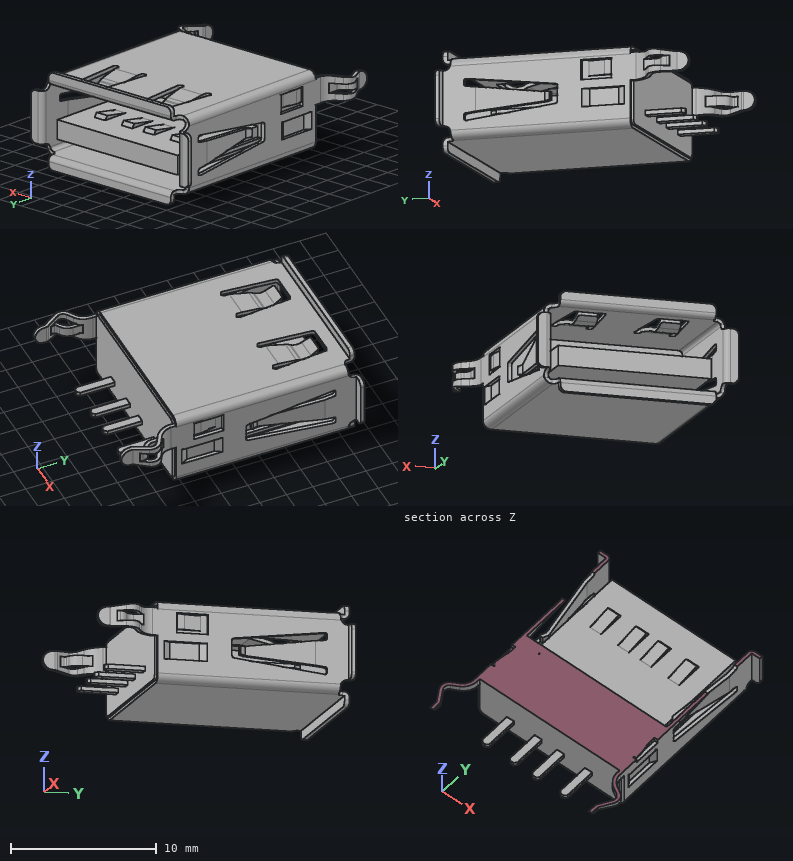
import cadquery as cq
import math


SHELL_WIDTH = 13.1
SHELL_HEIGHT = 5.7
SHELL_REAR = -13.88
SHEET = 0.3
SHELL_CORNER = 0.6
HALF_WIDTH = SHELL_WIDTH / 2
HALF_HEIGHT = SHELL_HEIGHT / 2
WALL_MID = HALF_WIDTH - SHEET / 2
ROOF_MID = HALF_HEIGHT - SHEET / 2

LIP_SPAN_Z = 7.12
LIP_SPAN_X = 14.55
ROOF_LIP_WIDTH = 11.3
ROOF_LIP_THICKNESS = 0.36
SIDE_LIP_HEIGHT = 3.87
LIP_CORNER = 0.42
LIP_BEND = 0.4
NOTCH_DEPTH = 0.87
ROOF_NOTCH_FILLET = 0.35
SIDE_NOTCH_FILLET = 0.5

ROOF_SPRING_X = 3.0
ROOF_SLOT_FRONT = -1.34
ROOF_SLOT_REAR = -5.54
ROOF_SLOT_FRONT_HALF = 1.13
ROOF_SLOT_REAR_HALF = 1.51
ROOF_FINGER_TIP = -1.8
ROOF_FINGER_ROOT = -5.05
ROOF_FINGER_TIP_HALF = 0.72
ROOF_FINGER_ROOT_HALF = 1.05
ROOF_FINGER_BREAK_Y = -3.51
ROOF_FINGER_LOW_Y = -2.83
ROOF_FINGER_BREAK_DROP = 0.3
ROOF_FINGER_LOW_DROP = 0.64
ROOF_FINGER_FRONT_Y = -1.5
ROOF_FINGER_FRONT_DROP = -0.08
ROOF_FINGER_BREAK_BEND = 1.0
ROOF_FINGER_LOW_BEND = 1.0

SIDE_SPRING_Z = -0.185
SIDE_SLOT_FRONT = -1.83
SIDE_SLOT_REAR = -8.62
SIDE_SLOT_FRONT_HALF = 1.49
SIDE_SLOT_REAR_HALF = 0.68
SIDE_FINGER_FRONT_HALF = 0.96
SIDE_FINGER_TIP_HALF = 0.28
SIDE_FINGER_ROOT = -2.67
SIDE_FINGER_BEND_Y = -7.5
SIDE_FINGER_TIP = -7.94
SIDE_FINGER_DEPTH = 0.7
SIDE_FINGER_TIP_DEPTH = 0.45
SLOT_CORNER = 0.2

BLOCK_FRONT = -9.0
BLOCK_REAR = -14.05
BLOCK_REAR_WIDTH = 12.54
BLOCK_REAR_HEIGHT = 5.24
BLOCK_CORNER = 0.3
TONGUE_FRONT = -0.8
TONGUE_WIDTH = 11.1
TONGUE_TOP = -0.12
TONGUE_BOTTOM = -1.54
RAIL_FRONT = -3.48
RAIL_BEVEL = 0.47
RAIL_TOP = -0.9
RAIL_BOTTOM = -1.17
RAIL_DEPTH = 0.3

CONTACT_X = (-3.5, -1.0, 1.0, 3.5)
CONTACT_WIDTH = 0.98
CONTACT_FRONT = -2.88
CONTACT_CREST = -3.1
CONTACT_REAR = -5.0
CONTACT_RISE = 0.3
PIN_WIDTH = 0.65
PIN_THICKNESS = 0.31
PIN_Z = -1.37
PIN_END = -16.87
PIN_BEVEL = 0.2

LATCH_WINDOW_Y = (-12.53, -10.3)
LATCH_WINDOW_Z = (0.65, 2.05)
LATCH_Y = (-12.48, -11.98, -10.8)
LATCH_Z = (0.93, 2.0)
LATCH_RISE = 0.2
DENT_Y = (-13.45, -10.37)
DENT_Z = (-1.24, 0.02)
DENT_RAMP = 0.49
DENT_DEPTH = 0.3

CLIP_Z = 1.365
CLIP_ROOT_WIDTH = 1.95
CLIP_TIP_WIDTH = 1.31
CLIP_TAPER_START = -14.3
CLIP_END = -18.33
CLIP_REACH = 8.5
CLIP_KNEE = (WALL_MID, -14.99)
CLIP_ELBOW = (8.02, -15.93)
CLIP_FOOT = (7.11, -17.45)
CLIP_KNEE_BEND = 1.2
CLIP_ELBOW_BEND = 0.575
CLIP_FOOT_BEND = 0.17
CLIP_SLOT_WIDTH = 0.72
CLIP_SLOT_Y = (-17.05, -14.95)
BRIDGE_POINTS = ((6.655, -14.95), (6.655, -16.16), (7.42, -16.60), (7.33, -17.05))
BRIDGE_BENDS = (0.8, 0.3)


def box(x_range, y_range, z_range):
    """Axis-aligned box from its limits along X, Y and Z."""
    size = [limits[1] - limits[0] for limits in (x_range, y_range, z_range)]
    return (
        cq.Workplane("XY")
        .box(*size, centered=False)
        .translate((x_range[0], y_range[0], z_range[0]))
    )


def xy_prism(points, z_low, z_high):
    """Prism along Z from an outline of (x, y) points."""
    return cq.Workplane("XY").workplane(offset=z_low).polyline(points).close().extrude(z_high - z_low)


def yz_prism(points, x_low, x_high):
    """Prism along X from an outline of (y, z) points."""
    return cq.Workplane("YZ").workplane(offset=x_low).polyline(points).close().extrude(x_high - x_low)


def both_sides(solid):
    """The solid together with its mirror image across the plane X = 0."""
    return solid.union(solid.mirror("YZ"))


def rounded_line(path, points, bends):
    """Continue a sketch through the points, rounding each inner corner to its radius (0 keeps it sharp)."""
    corners = [cq.Vector(*point) for point in points]
    for before, corner, after, radius in zip(corners, corners[1:], corners[2:], bends):
        if radius == 0:
            path = path.lineTo(corner.x, corner.y)
            continue
        incoming = (corner - before).normalized()
        outgoing = (after - corner).normalized()
        setback = radius * math.tan(incoming.getAngle(outgoing) / 2)
        arc_start = corner - incoming * setback
        arc_end = corner + outgoing * setback
        path = path.lineTo(arc_start.x, arc_start.y)
        path = path.tangentArcPoint((arc_end.x, arc_end.y), relative=False)
    return path.lineTo(corners[-1].x, corners[-1].y)


def sheet_face(points, bends, shift):
    """Points and bend radii of the mid-line moved sideways by the shift (positive to its left)."""
    corners = [cq.Vector(*point) for point in points]
    headings = [(after - before).normalized() for before, after in zip(corners, corners[1:])]
    normals = [cq.Vector(-heading.y, heading.x) for heading in headings]
    face = [corners[0] + normals[0] * shift]
    radii = []
    for corner, before, after, radius in zip(corners[1:], normals, normals[1:], bends):
        mitre = (before + after) * (shift / (1 + before.dot(after)))
        face.append(corner + mitre)
        turns_left = before.cross(after).z > 0
        radii.append(0 if radius == 0 else radius + (-shift if turns_left else shift))
    face.append(corners[-1] + normals[-1] * shift)
    return [(point.x, point.y) for point in face], radii


def bent_strip(plane_name, points, bends, width, middle=0.0):
    """Sheet strip whose mid-line follows the points, bent to the given mid-line radii (0 is sharp)."""
    left, left_radii = sheet_face(points, bends, SHEET / 2)
    right, right_radii = sheet_face(points, bends, -SHEET / 2)
    outline = cq.Workplane(plane_name).workplane(offset=middle - width / 2).moveTo(*left[0])
    outline = rounded_line(outline, left, left_radii)
    outline = outline.lineTo(*right[-1])
    outline = rounded_line(outline, right[::-1], right_radii[::-1])
    return outline.close().extrude(width)


def shell_tube():
    """Rounded tube cut back behind the mouth, where the lips take over."""
    tube = (
        cq.Workplane("XZ")
        .rect(SHELL_WIDTH, SHELL_HEIGHT)
        .extrude(-SHELL_REAR)
        .edges("|Y")
        .fillet(SHELL_CORNER)
    )
    bore = (
        cq.Workplane("XZ")
        .rect(SHELL_WIDTH - 2 * SHEET, SHELL_HEIGHT - 2 * SHEET)
        .extrude(-SHELL_REAR)
        .edges("|Y")
        .fillet(SHELL_CORNER - SHEET)
    )
    front = box((-HALF_WIDTH, HALF_WIDTH), (-NOTCH_DEPTH, 0), (-HALF_HEIGHT, HALF_HEIGHT))
    return tube.cut(bore).cut(front)


def lip_profile(wall, rim, thickness):
    """L-shaped section of a lip: (y, distance from the Y axis) from the wall's outer face to the rim."""
    return [
        (-NOTCH_DEPTH, wall - SHEET),
        (0, wall - SHEET),
        (0, rim),
        (-thickness, rim),
        (-thickness, wall),
        (-NOTCH_DEPTH, wall),
    ]


def roof_lip():
    """Roof sheet running forward to the mouth and turned up there."""
    profile = lip_profile(HALF_HEIGHT, LIP_SPAN_Z / 2, ROOF_LIP_THICKNESS)
    blank = yz_prism(profile, -HALF_WIDTH, HALF_WIDTH).edges("|X and >Y and <Z").fillet(LIP_BEND)
    half = ROOF_LIP_WIDTH / 2
    face = (
        cq.Workplane("XZ")
        .rect(ROOF_LIP_WIDTH, LIP_SPAN_Z)
        .extrude(NOTCH_DEPTH)
        .edges("|Y")
        .fillet(LIP_CORNER)
    )
    lip = blank.intersect(face)
    for side in (-1, 1):
        lip = lip.union(notch_fillet(ROOF_NOTCH_FILLET, side * half, side, "XY", ROOF_MID - SHEET / 2))
    return lip


def side_lip():
    """Right-hand wall sheet running forward to the mouth and turned outward there."""
    profile = [(x, y) for y, x in lip_profile(HALF_WIDTH, LIP_SPAN_X / 2, SHEET)]
    blank = xy_prism(profile, -HALF_HEIGHT, HALF_HEIGHT).edges("|Z and >Y and <X").fillet(LIP_BEND)
    half = SIDE_LIP_HEIGHT / 2
    face = (
        cq.Workplane("XZ")
        .rect(LIP_SPAN_X, SIDE_LIP_HEIGHT)
        .extrude(NOTCH_DEPTH)
        .edges("|Y")
        .fillet(LIP_CORNER)
    )
    lip = blank.intersect(face)
    for side in (-1, 1):
        lip = lip.union(notch_fillet(SIDE_NOTCH_FILLET, side * half, side, "ZY", -WALL_MID - SHEET / 2))
    return lip


def notch_fillet(radius, edge, side, plane_name, offset):
    """Concave web filling the corner between a lip's neck and the bottom of its notch."""
    reach = edge + side * radius
    middle = radius * (1 - math.sqrt(0.5))
    return (
        cq.Workplane(plane_name)
        .workplane(offset=offset)
        .moveTo(edge, -NOTCH_DEPTH)
        .lineTo(reach, -NOTCH_DEPTH)
        .threePointArc(
            (edge + side * middle, middle - NOTCH_DEPTH),
            (edge, radius - NOTCH_DEPTH),
        )
        .close()
        .extrude(SHEET)
    )


def roof_finger_outline():
    """Prism over the plan shape of a roof finger, up to the roof's outer face."""
    points = [
        (-ROOF_FINGER_TIP_HALF, ROOF_FINGER_TIP),
        (ROOF_FINGER_TIP_HALF, ROOF_FINGER_TIP),
        (ROOF_FINGER_ROOT_HALF, ROOF_FINGER_ROOT),
        (ROOF_FINGER_ROOT_HALF, ROOF_SLOT_REAR),
        (-ROOF_FINGER_ROOT_HALF, ROOF_SLOT_REAR),
        (-ROOF_FINGER_ROOT_HALF, ROOF_FINGER_ROOT),
    ]
    return xy_prism(points, 0, HALF_HEIGHT).edges("|Z and >Y").fillet(SLOT_CORNER)


def roof_spring_slot():
    """Cutter for the tapered opening round a roof finger, leaving the flat web at the finger's root."""
    points = [
        (-ROOF_SLOT_FRONT_HALF, ROOF_SLOT_FRONT),
        (ROOF_SLOT_FRONT_HALF, ROOF_SLOT_FRONT),
        (ROOF_SLOT_REAR_HALF, ROOF_SLOT_REAR),
        (-ROOF_SLOT_REAR_HALF, ROOF_SLOT_REAR),
    ]
    opening = xy_prism(points, HALF_HEIGHT - SHEET, HALF_HEIGHT).edges("|Z and >Y").fillet(SLOT_CORNER)
    root = box((-HALF_WIDTH, HALF_WIDTH), (ROOF_SLOT_REAR, ROOF_FINGER_ROOT), (0, HALF_HEIGHT))
    web = roof_finger_outline().intersect(root)
    return opening.cut(web).edges("|Z and <Y").fillet(SLOT_CORNER)


def roof_finger():
    """Finger that dips into the cavity and turns up again at its tip."""
    strip = bent_strip(
        "YZ",
        [
            (ROOF_SLOT_REAR, ROOF_MID),
            (ROOF_FINGER_ROOT, ROOF_MID),
            (ROOF_FINGER_BREAK_Y, ROOF_MID - ROOF_FINGER_BREAK_DROP),
            (ROOF_FINGER_LOW_Y, ROOF_MID - ROOF_FINGER_LOW_DROP),
            (ROOF_FINGER_FRONT_Y, ROOF_MID - ROOF_FINGER_FRONT_DROP),
        ],
        [0, ROOF_FINGER_BREAK_BEND, ROOF_FINGER_LOW_BEND],
        2 * ROOF_SLOT_REAR_HALF,
    )
    return strip.intersect(roof_finger_outline())


def side_finger_outline():
    """Prism over the side shape of a wall finger."""
    points = [
        (SIDE_SLOT_FRONT, SIDE_SPRING_Z - SIDE_FINGER_FRONT_HALF),
        (SIDE_SLOT_FRONT, SIDE_SPRING_Z + SIDE_FINGER_FRONT_HALF),
        (SIDE_FINGER_TIP, SIDE_SPRING_Z + SIDE_FINGER_TIP_HALF),
        (SIDE_FINGER_TIP, SIDE_SPRING_Z - SIDE_FINGER_TIP_HALF),
    ]
    return yz_prism(points, 0, HALF_WIDTH)


def side_spring_slot():
    """Cutter for the tapered opening round a side finger, leaving the flat web at the finger's root."""
    points = [
        (SIDE_SLOT_FRONT, SIDE_SPRING_Z - SIDE_SLOT_FRONT_HALF),
        (SIDE_SLOT_FRONT, SIDE_SPRING_Z + SIDE_SLOT_FRONT_HALF),
        (SIDE_SLOT_REAR, SIDE_SPRING_Z + SIDE_SLOT_REAR_HALF),
        (SIDE_SLOT_REAR, SIDE_SPRING_Z - SIDE_SLOT_REAR_HALF),
    ]
    opening = yz_prism(points, HALF_WIDTH - SHEET, HALF_WIDTH).edges("|X and <Y").fillet(SLOT_CORNER)
    root = box((0, HALF_WIDTH), (SIDE_FINGER_ROOT, SIDE_SLOT_FRONT), (-HALF_HEIGHT, HALF_HEIGHT))
    web = side_finger_outline().intersect(root)
    return opening.cut(web).edges("|X and >Y").fillet(SLOT_CORNER)


def side_finger():
    """Finger that slopes into the cavity and turns outward at its tip."""
    strip = bent_strip(
        "XY",
        [
            (WALL_MID, SIDE_SLOT_FRONT),
            (WALL_MID, SIDE_FINGER_ROOT),
            (WALL_MID - SIDE_FINGER_DEPTH, SIDE_FINGER_BEND_Y),
            (WALL_MID - SIDE_FINGER_TIP_DEPTH, SIDE_FINGER_TIP),
        ],
        [0, 0],
        SHELL_HEIGHT,
    )
    return strip.intersect(side_finger_outline())


def insulator():
    """Rear block with its end plate, and the tongue with a rail along each side."""
    inner_x = HALF_WIDTH - SHEET
    inner_z = HALF_HEIGHT - SHEET
    block = box((-inner_x, inner_x), (SHELL_REAR, BLOCK_FRONT), (-inner_z, inner_z))
    block = block.edges("|Y").fillet(SHELL_CORNER - SHEET)
    end_plate = (
        cq.Workplane("XZ", origin=(0, SHELL_REAR, 0))
        .rect(BLOCK_REAR_WIDTH, BLOCK_REAR_HEIGHT)
        .extrude(SHELL_REAR - BLOCK_REAR)
        .edges("|Y")
        .fillet(BLOCK_CORNER)
    )
    half_tongue = TONGUE_WIDTH / 2
    tongue = box((-half_tongue, half_tongue), (BLOCK_FRONT, TONGUE_FRONT), (TONGUE_BOTTOM, TONGUE_TOP))
    rail = xy_prism(
        [
            (half_tongue, BLOCK_FRONT),
            (half_tongue, RAIL_FRONT),
            (half_tongue + RAIL_DEPTH, RAIL_FRONT - RAIL_BEVEL),
            (half_tongue + RAIL_DEPTH, BLOCK_FRONT),
        ],
        RAIL_BOTTOM,
        RAIL_TOP,
    )
    return block.union(end_plate).union(tongue).union(both_sides(rail))


def contact(x):
    """Low spring hump standing on the tongue."""
    hump = [
        (CONTACT_FRONT, TONGUE_TOP),
        (CONTACT_CREST, TONGUE_TOP + CONTACT_RISE),
        (CONTACT_REAR, TONGUE_TOP),
    ]
    return yz_prism(hump, x - CONTACT_WIDTH / 2, x + CONTACT_WIDTH / 2)


def pin(x):
    """Solder pin with a bevelled tip."""
    return (
        box(
            (x - PIN_WIDTH / 2, x + PIN_WIDTH / 2),
            (PIN_END, BLOCK_REAR),
            (PIN_Z - PIN_THICKNESS / 2, PIN_Z + PIN_THICKNESS / 2),
        )
        .edges("|Z and <Y")
        .chamfer(PIN_BEVEL)
    )


def latch():
    """Wedge on the insulator that catches in the latch window."""
    rear, crest, front = LATCH_Y
    base = HALF_WIDTH - SHEET
    wedge = [(base, rear), (base + LATCH_RISE, rear), (base + LATCH_RISE, crest), (base, front)]
    return xy_prism(wedge, *LATCH_Z)


def dent():
    """Cutter for the shallow dent with sloping ends."""
    rear, front = DENT_Y
    floor = HALF_WIDTH - DENT_DEPTH
    points = [
        (HALF_WIDTH, rear),
        (floor, rear + DENT_RAMP),
        (floor, front - DENT_RAMP),
        (HALF_WIDTH, front),
    ]
    return xy_prism(points, *DENT_Z)


def clip():
    """Tapered board clip with a slotted elbow and a bridge bowed inward beside the slot."""
    strip = bent_strip(
        "XY",
        [(WALL_MID, SHELL_REAR), CLIP_KNEE, CLIP_ELBOW, CLIP_FOOT, (CLIP_FOOT[0], CLIP_END)],
        [CLIP_KNEE_BEND, CLIP_ELBOW_BEND, CLIP_FOOT_BEND],
        CLIP_ROOT_WIDTH,
        CLIP_Z,
    )
    root_half = CLIP_ROOT_WIDTH / 2
    tip_half = CLIP_TIP_WIDTH / 2
    round_start = CLIP_END + tip_half
    outline = (
        cq.Workplane("YZ")
        .moveTo(SHELL_REAR, CLIP_Z + root_half)
        .lineTo(CLIP_TAPER_START, CLIP_Z + root_half)
        .lineTo(round_start, CLIP_Z + tip_half)
        .threePointArc((CLIP_END, CLIP_Z), (round_start, CLIP_Z - tip_half))
        .lineTo(CLIP_TAPER_START, CLIP_Z - root_half)
        .lineTo(SHELL_REAR, CLIP_Z - root_half)
        .close()
        .extrude(CLIP_REACH)
    )
    slot_z = (CLIP_Z - CLIP_SLOT_WIDTH / 2, CLIP_Z + CLIP_SLOT_WIDTH / 2)
    slot = box((0, CLIP_REACH), CLIP_SLOT_Y, slot_z)
    bridge = bent_strip("XY", BRIDGE_POINTS, BRIDGE_BENDS, CLIP_SLOT_WIDTH, CLIP_Z)
    return strip.intersect(outline).cut(slot).union(bridge)


def shell():
    """Shell with lips, spring fingers, latch windows and clips."""
    body = shell_tube()
    body = body.union(roof_lip()).union(roof_lip().mirror("XY")).union(both_sides(side_lip()))
    for x in (-ROOF_SPRING_X, ROOF_SPRING_X):
        body = body.cut(roof_spring_slot().translate((x, 0, 0)))
        body = body.union(roof_finger().translate((x, 0, 0)))
    body = body.cut(both_sides(side_spring_slot())).union(both_sides(side_finger()))
    window = box((HALF_WIDTH - SHEET, HALF_WIDTH), LATCH_WINDOW_Y, LATCH_WINDOW_Z)
    return body.cut(both_sides(window)).union(both_sides(clip()))


result = shell().union(insulator()).union(both_sides(latch())).cut(both_sides(dent()))
for contact_x in CONTACT_X:
    result = result.union(contact(contact_x)).union(pin(contact_x))